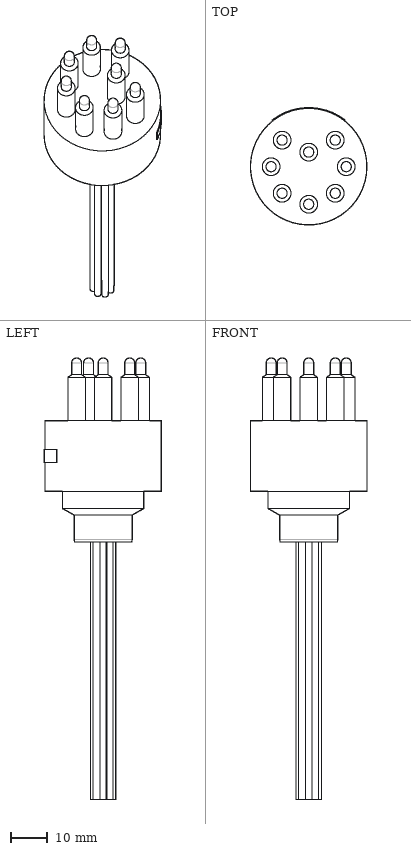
import cadquery as cq
import math

total_length = 120.1

body_radius = 31.7 / 2
collar_radius = 22.2 / 2
neck_radius = 15.9 / 2
neck_bottom = 70.0
neck_taper_height = 0.7
neck_taper_inset = 0.1
cone_bottom = 77.4
collar_bottom = 79.2
body_bottom = 83.9
body_top = 103.1

sleeve_radius = 4.8 / 2
shoulder_bottom = 114.9
shoulder_top = 115.6
tip_radius = 2.8 / 2
pin_circle_radius = 10.2
pin_angle_step = 45
empty_pin_angle = 90
inner_pin_y = 4.0

wire_count = 8
wire_radius = 1.8 / 2
wire_circle_radius = 2.58

pad_thickness = 0.2
pad_height = 3.6
pad_half_angle = 38

joint_overlap = 1.2


def polar(radius, angle):
    """Point at a radius and an angle in degrees from the +X axis."""
    turn = math.radians(angle)
    return (radius * math.cos(turn), radius * math.sin(turn))


def make_body():
    """Head, collar, cone and neck as one turned profile."""
    profile = [
        (0, neck_bottom),
        (neck_radius - neck_taper_inset, neck_bottom),
        (neck_radius, neck_bottom + neck_taper_height),
        (neck_radius, cone_bottom),
        (collar_radius, collar_bottom),
        (collar_radius, body_bottom),
        (body_radius, body_bottom),
        (body_radius, body_top),
        (0, body_top),
    ]
    return cq.Workplane("XZ").polyline(profile).close().revolve(360, (0, 0), (0, 1))


def make_pin():
    """One turned pin on the Z axis: sleeve, conical shoulder, tip and round end."""
    root = body_top - joint_overlap
    dome_base = total_length - tip_radius
    dome_middle_r, dome_middle_rise = polar(tip_radius, 45)
    return (
        cq.Workplane("XZ")
        .moveTo(0, root)
        .lineTo(sleeve_radius, root)
        .lineTo(sleeve_radius, shoulder_bottom)
        .lineTo(tip_radius, shoulder_top)
        .lineTo(tip_radius, dome_base)
        .threePointArc((dome_middle_r, dome_base + dome_middle_rise), (0, total_length))
        .close()
        .revolve(360, (0, 0), (0, 1))
    )


def make_wires():
    """Ring of straight round wires hanging from the neck."""
    return (
        cq.Workplane("XY")
        .polarArray(wire_circle_radius, 0, 360, wire_count)
        .circle(wire_radius)
        .extrude(neck_bottom + joint_overlap)
    )


def make_label_pad():
    """Thin curved pad centred on the +Y side, halfway up the head."""
    inner = body_radius - joint_overlap
    outer = body_radius + pad_thickness
    right_angle = 90 - pad_half_angle
    left_angle = 90 + pad_half_angle
    pad_bottom = (body_bottom + body_top - pad_height) / 2
    return (
        cq.Workplane("XY", origin=(0, 0, pad_bottom))
        .moveTo(*polar(inner, right_angle))
        .lineTo(*polar(outer, right_angle))
        .threePointArc((0, outer), polar(outer, left_angle))
        .lineTo(*polar(inner, left_angle))
        .threePointArc((0, inner), polar(inner, right_angle))
        .close()
        .extrude(pad_height)
    )


pin_points = [(0, inner_pin_y)]
for pin_angle in range(0, 360, pin_angle_step):
    if pin_angle != empty_pin_angle:
        pin_points.append(polar(pin_circle_radius, pin_angle))

result = make_body().union(make_label_pad()).union(make_wires())
pin = make_pin()
for pin_x, pin_y in pin_points:
    result = result.union(pin.translate((pin_x, pin_y, 0)))